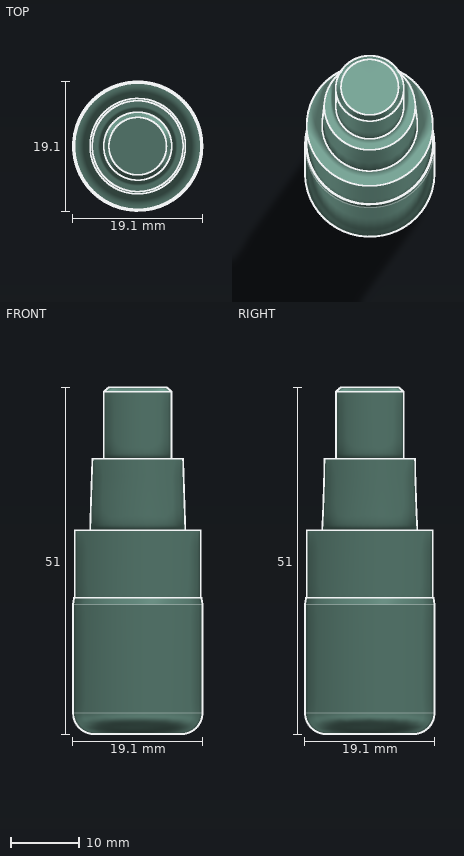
import cadquery as cq

total_height = 51.0
pin_base_z = 40.5
taper_base_z = 30.0
knob_top_z = 20.05

knob_diameter = 19.05
knob_end_radius = 3.15
rim_bevel_height = 0.95
rim_bevel_width = 0.15

collar_diameter = 18.55
taper_base_diameter = 14.0
taper_top_diameter = 13.35
pin_diameter = 10.0
tip_bevel_height = 0.65
tip_bevel_width = 0.75


def make_knob():
    """Solid grip with a rounded lower end and a slightly bevelled upper rim."""
    knob = cq.Workplane("XY").circle(knob_diameter / 2).extrude(knob_top_z)
    knob = knob.faces("<Z").edges().fillet(knob_end_radius)
    outer_radius = knob_diameter / 2
    bevel_cutter = (
        cq.Workplane("XZ")
        .moveTo(outer_radius, knob_top_z - rim_bevel_height)
        .lineTo(outer_radius, knob_top_z)
        .lineTo(outer_radius - rim_bevel_width, knob_top_z)
        .close()
        .revolve(360, (0, 0), (0, 1))
    )
    return knob.cut(bevel_cutter)


def make_shank():
    """Collar, tapered seat and bevelled pin, turned as one piece and resting on the knob."""
    pin_radius = pin_diameter / 2
    return (
        cq.Workplane("XZ")
        .moveTo(0, knob_top_z)
        .lineTo(collar_diameter / 2, knob_top_z)
        .lineTo(collar_diameter / 2, taper_base_z)
        .lineTo(taper_base_diameter / 2, taper_base_z)
        .lineTo(taper_top_diameter / 2, pin_base_z)
        .lineTo(pin_radius, pin_base_z)
        .lineTo(pin_radius, total_height - tip_bevel_height)
        .lineTo(pin_radius - tip_bevel_width, total_height)
        .lineTo(0, total_height)
        .close()
        .revolve(360, (0, 0), (0, 1))
    )


knob = make_knob()
shank = make_shank()
result = cq.Compound.makeCompound([knob.val(), shank.val()])